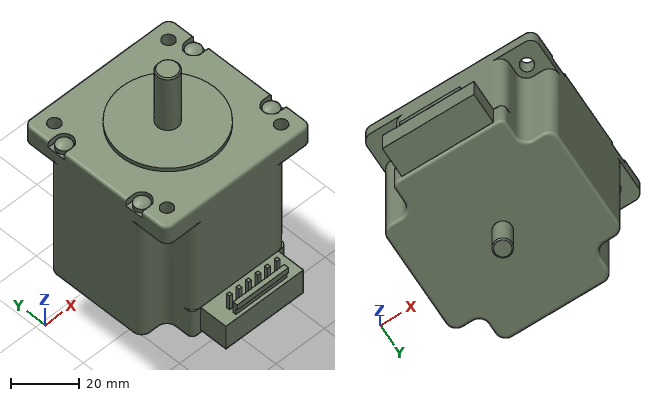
import cadquery as cq

housing_side = 60.0
housing_height = 56.0
flange_thickness = 7.0
flange_corner_radius = 3.0
edge_fillet = 1.0
half_side = housing_side / 2
stack_height = housing_height - flange_thickness

notch_span = 14.0
notch_radius = notch_span / 4
notch_depth = notch_span - notch_radius

pilot_diameter = 38.1
pilot_height = 1.5
mount_hole_diameter = 4.5
mount_hole_spacing = 47.1
screw_spacing_x = 53.5
screw_spacing_y = 32.5
screw_diameter = 5.6
screw_rim_depth = 0.9
screw_dome_height = 0.9
screw_pocket_width = 6.6
screw_pocket_depth = 2.5

front_shaft_diameter = 8.0
front_shaft_length = 22.5
front_shaft_chamfer = 0.5
flat_depth = 0.6
flat_start = 2.2
rear_shaft_diameter = 6.4
rear_shaft_length = 13.5
rear_shaft_chamfer = 0.5

pad_width = housing_side - 2 * notch_depth
pad_height = 11.6
pad_corner_radius = 2.0
connector_width = housing_side - 2 * notch_span
connector_bottom = 1.7
connector_reach = 10.6
pin_count = 6
pin_pitch = 3.9
pin_width = 1.1
pin_thickness = 1.2
pin_height = 6.0
pin_offset_x = -0.2
pin_distance = 6.0
latch_width = 21.1
latch_height = 4.6
latch_lip_height = 2.2
latch_thickness = 1.2
latch_lip_reach = 0.6
latch_distance = 8.0


def square_block(side, height):
    return cq.Workplane("XY").box(side, side, height, centered=(True, True, False))


def corner_notch():
    """Cutter for the (+X, +Y) corner of the stack, with flared rounded mouths."""
    edge = half_side
    floor = half_side - notch_depth
    mouth = half_side - notch_span
    inner_flat_end = floor + notch_radius
    outer_flat_end = edge - notch_radius
    bend = notch_radius * 2**-0.5
    return (
        cq.Workplane("XY")
        .moveTo(edge, edge)
        .lineTo(mouth, edge)
        .threePointArc((mouth + bend, outer_flat_end + bend), (floor, outer_flat_end))
        .lineTo(floor, inner_flat_end)
        .threePointArc((inner_flat_end - bend, inner_flat_end - bend), (inner_flat_end, floor))
        .lineTo(outer_flat_end, floor)
        .threePointArc((outer_flat_end + bend, mouth + bend), (edge, mouth))
        .close()
        .extrude(stack_height)
    )


def make_stack():
    stack = square_block(housing_side, stack_height)
    for corner in range(4):
        stack = stack.cut(corner_notch().rotate((0, 0, 0), (0, 0, 1), 90 * corner))
    pad = (
        cq.Workplane("XY")
        .box(pad_width, notch_span, pad_height, centered=(True, False, False))
        .translate((0, -half_side, 0))
        .edges("|Z and <Y")
        .fillet(pad_corner_radius)
    )
    return stack.union(pad).faces("<Z").edges().fillet(edge_fillet)


def make_flange():
    flange = (
        square_block(housing_side, flange_thickness)
        .edges("|Z")
        .fillet(flange_corner_radius)
        .faces(">Z")
        .edges()
        .fillet(edge_fillet)
    )
    holes = (
        cq.Workplane("XY")
        .rect(mount_hole_spacing, mount_hole_spacing, forConstruction=True)
        .vertices()
        .circle(mount_hole_diameter / 2)
        .extrude(flange_thickness)
    )
    return flange.cut(holes).translate((0, 0, stack_height))


def screw_pocket():
    """Round-ended slot that opens through the +X edge, centred on the screw."""
    opening_length = half_side - screw_spacing_x / 2
    round_end = cq.Workplane("XY").circle(screw_pocket_width / 2).extrude(screw_pocket_depth)
    opening = cq.Workplane("XY").box(
        opening_length, screw_pocket_width, screw_pocket_depth, centered=(False, True, False)
    )
    return round_end.union(opening)


def screw_head():
    """Domed screw head standing on the pocket floor."""
    radius = screw_diameter / 2
    rim = screw_pocket_depth - screw_rim_depth
    apex = rim + screw_dome_height
    dome_radius = (radius**2 + screw_dome_height**2) / (2 * screw_dome_height)
    mid_height = apex - dome_radius + (dome_radius**2 - (radius / 2) ** 2) ** 0.5
    return (
        cq.Workplane("XZ")
        .lineTo(radius, 0)
        .lineTo(radius, rim)
        .threePointArc((radius / 2, mid_height), (0, apex))
        .close()
        .revolve(360, (0, 0), (0, 1))
    )


def add_screws(body):
    floor = housing_height - screw_pocket_depth
    for turn, side in ((0, 1), (180, -1)):
        for end in (-1, 1):
            place = (side * screw_spacing_x / 2, end * screw_spacing_y / 2, floor)
            pocket = screw_pocket().rotate((0, 0, 0), (0, 0, 1), turn)
            body = body.cut(pocket.translate(place)).union(screw_head().translate(place))
    return body


def make_pilot():
    return (
        cq.Workplane("XY", origin=(0, 0, housing_height))
        .circle(pilot_diameter / 2)
        .extrude(pilot_height)
    )


def make_front_shaft():
    radius = front_shaft_diameter / 2
    shaft = (
        cq.Workplane("XY")
        .circle(radius)
        .extrude(front_shaft_length)
        .faces(">Z")
        .edges()
        .chamfer(front_shaft_chamfer)
    )
    flat = (
        cq.Workplane("XY")
        .box(front_shaft_diameter, radius, front_shaft_length, centered=(True, False, False))
        .translate((0, radius - flat_depth, flat_start))
    )
    return shaft.cut(flat).translate((0, 0, housing_height + pilot_height))


def make_rear_shaft():
    return (
        cq.Workplane("XY")
        .circle(rear_shaft_diameter / 2)
        .extrude(-rear_shaft_length)
        .faces("<Z")
        .edges()
        .chamfer(rear_shaft_chamfer)
    )


def make_connector():
    shell = (
        cq.Workplane("XY")
        .box(
            connector_width,
            notch_depth + connector_reach,
            pad_height - connector_bottom,
            centered=(True, False, False),
        )
        .translate((0, -half_side - connector_reach, connector_bottom))
    )
    pin_places = [
        (pin_offset_x + (index - (pin_count - 1) / 2) * pin_pitch, -half_side - pin_distance)
        for index in range(pin_count)
    ]
    pins = (
        cq.Workplane("XY", origin=(0, 0, pad_height))
        .pushPoints(pin_places)
        .rect(pin_width, pin_thickness)
        .extrude(pin_height)
    )
    lip_bottom = latch_height - latch_lip_height
    latch = (
        cq.Workplane("YZ")
        .polyline(
            [
                (0, 0),
                (0, latch_height),
                (-latch_thickness - latch_lip_reach, latch_height),
                (-latch_thickness - latch_lip_reach, lip_bottom),
                (-latch_thickness, lip_bottom),
                (-latch_thickness, 0),
            ]
        )
        .close()
        .extrude(latch_width / 2, both=True)
        .translate((0, -half_side - latch_distance, pad_height))
    )
    return shell.union(pins).union(latch)


housing = make_stack().union(make_flange())
housing = add_screws(housing)
result = (
    housing.union(make_pilot())
    .union(make_front_shaft())
    .union(make_rear_shaft())
    .union(make_connector())
)